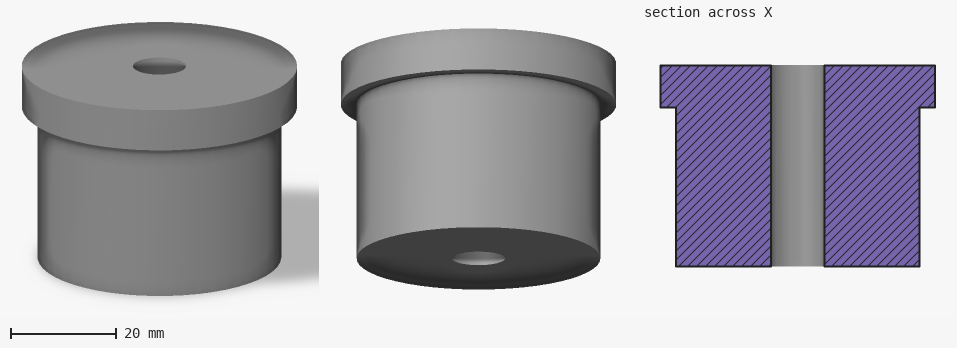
import cadquery as cq

flange_diameter = 52.0
flange_thickness = 8.0
body_diameter = 46.0
total_height = 38.0
bore_diameter = 10.0

body_height = total_height - flange_thickness

body = cq.Workplane("XY").circle(body_diameter / 2).extrude(body_height)

flanged_body = body.faces(">Z").workplane().circle(flange_diameter / 2).extrude(flange_thickness)

result = flanged_body.faces(">Z").workplane().hole(bore_diameter)